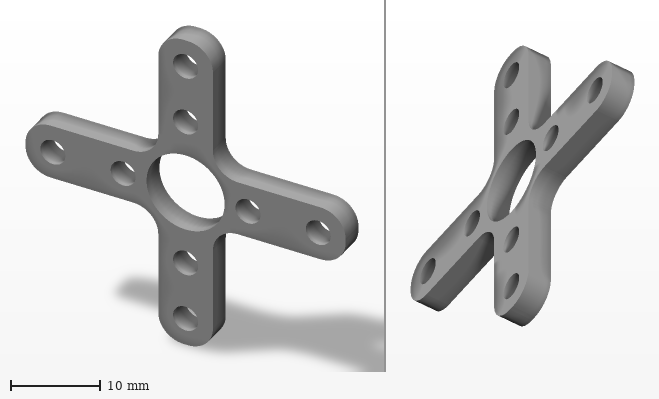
import cadquery as cq

span = 41.0
thickness = 3.0
arm_width = 7.0
corner_radius = 3.2
bore_diameter = 10.0
screw_diameter = 3.2
outer_hole_radius = 17.0
inner_hole_x = 8.0
inner_hole_z = 9.5


def arm_pair(size_x, size_z):
    """Straight bar through the center, with rounded corners at both tips."""
    return cq.Workplane("XY").box(size_x, thickness, size_z).edges("|Y").fillet(corner_radius)


def cross_body():
    """Two crossing bars with their inside corners rounded."""
    cross = arm_pair(span, arm_width).union(arm_pair(arm_width, span))
    inside_corners = cq.selectors.BoxSelector(
        (-arm_width, -thickness, -arm_width),
        (arm_width, thickness, arm_width),
    )
    return cross.edges("|Y").edges(inside_corners).fillet(corner_radius)


def through_holes(diameter, points):
    """Cylinders along Y, to be cut from the full thickness at the (x, z) points."""
    return (
        cq.Workplane("XZ")
        .workplane(offset=-thickness / 2)
        .pushPoints(points)
        .circle(diameter / 2)
        .extrude(thickness)
    )


screw_points = []
for side in (-1, 1):
    for distance in (inner_hole_x, outer_hole_radius):
        screw_points.append((side * distance, 0))
    for distance in (inner_hole_z, outer_hole_radius):
        screw_points.append((0, side * distance))

result = (
    cross_body()
    .cut(through_holes(bore_diameter, [(0, 0)]))
    .cut(through_holes(screw_diameter, screw_points))
)